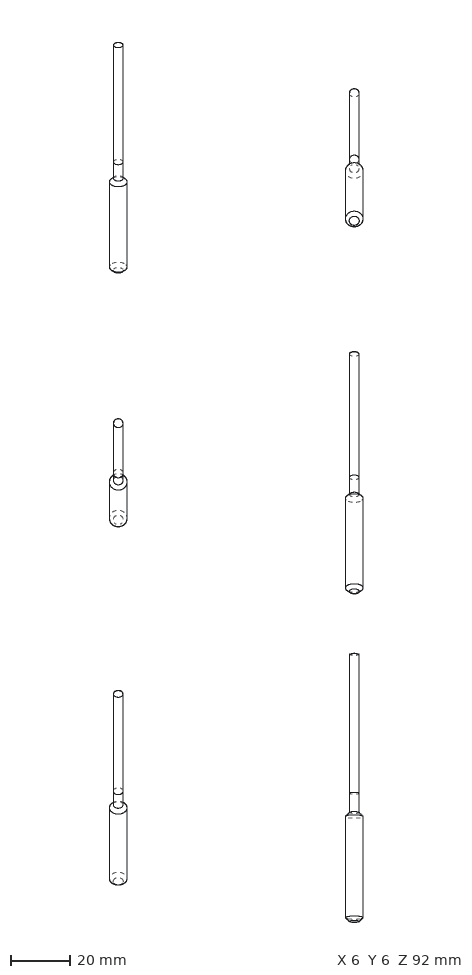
import cadquery as cq

total_length = 92.0
shank_diameter = 6.0
rod_diameter = 3.2
shank_top = 36.0
joint_height = 44.0
end_chamfer = 1.3
tip_height = 0.5

shank_radius = shank_diameter / 2
rod_radius = rod_diameter / 2
neck_base = shank_top + shank_radius - rod_radius
tip_base = total_length - tip_height


def revolve_profile(points):
    """Turn a closed (radius, height) outline around the Z axis."""
    return cq.Workplane("XZ").polyline(points).close().revolve(360, (0, 0), (0, 1))


def make_holder():
    """Chamfered shank with a conical shoulder and a short neck."""
    return revolve_profile([
        (0, 0),
        (shank_radius - end_chamfer, 0),
        (shank_radius, end_chamfer),
        (shank_radius, shank_top),
        (rod_radius, neck_base),
        (rod_radius, joint_height),
        (0, joint_height),
    ])


def make_rod():
    """Slender rod standing on the neck, ending in a shallow cone."""
    return revolve_profile([
        (0, joint_height),
        (rod_radius, joint_height),
        (rod_radius, tip_base),
        (0, total_length),
    ])


holder = make_holder()
rod = make_rod()

result = cq.Compound.makeCompound([holder.val(), rod.val()])